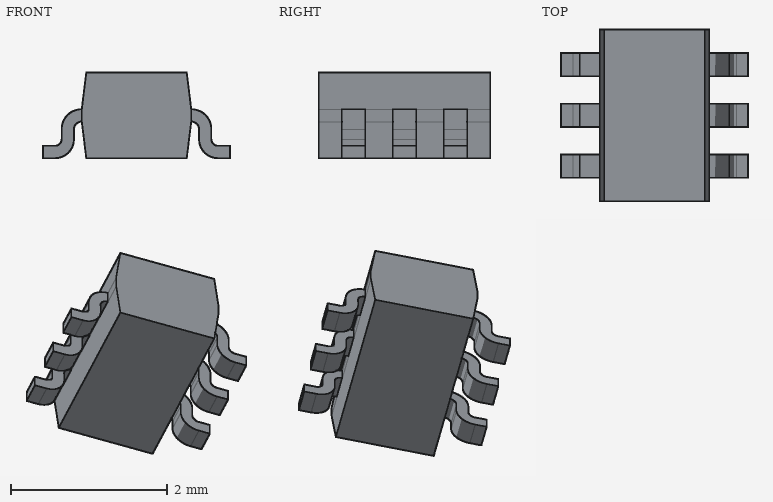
import cadquery as cq


LEAD_SPAN = 2.4
BODY_LENGTH = 2.2
BODY_HEIGHT = 1.1
BODY_WAIST_WIDTH = 1.405
BODY_FACE_WIDTH = 1.29

LEADS_PER_SIDE = 3
LEAD_PITCH = 0.65
LEAD_WIDTH = 0.3
LEAD_THICKNESS = 0.16
FOOT_LENGTH = 0.155
LOWER_BEND_RADIUS = 0.085

WAIST_BOTTOM = (BODY_HEIGHT - LEAD_THICKNESS) / 2
WAIST_TOP = WAIST_BOTTOM + LEAD_THICKNESS
LEAD_REACH = (LEAD_SPAN - BODY_WAIST_WIDTH) / 2
LOWER_BEND_OUTER_RADIUS = LOWER_BEND_RADIUS + LEAD_THICKNESS
UPPER_BEND_OUTER_RADIUS = LEAD_REACH - FOOT_LENGTH - LOWER_BEND_RADIUS
UPPER_BEND_RADIUS = UPPER_BEND_OUTER_RADIUS - LEAD_THICKNESS
RISER_BOTTOM = LOWER_BEND_OUTER_RADIUS
RISER_TOP = WAIST_TOP - UPPER_BEND_OUTER_RADIUS
RISER_LENGTH = RISER_TOP - RISER_BOTTOM


def make_body():
    """Moulded body: drafted sides above and below a vertical waist band."""
    half_waist = BODY_WAIST_WIDTH / 2
    half_face = BODY_FACE_WIDTH / 2
    return (
        cq.Workplane("XZ")
        .moveTo(-half_face, 0)
        .lineTo(half_face, 0)
        .lineTo(half_waist, WAIST_BOTTOM)
        .lineTo(half_waist, WAIST_TOP)
        .lineTo(half_face, BODY_HEIGHT)
        .lineTo(-half_face, BODY_HEIGHT)
        .lineTo(-half_waist, WAIST_TOP)
        .lineTo(-half_waist, WAIST_BOTTOM)
        .close()
        .extrude(BODY_LENGTH / 2, both=True)
    )


def make_left_lead(y):
    """Gull-wing lead on the -X side, centred at y and ending flat on the waist."""
    tip_x = -LEAD_SPAN / 2
    riser_outer_x = tip_x + FOOT_LENGTH + LOWER_BEND_RADIUS
    return (
        cq.Workplane("XZ", origin=(0, y, 0))
        .moveTo(tip_x, 0)
        .line(FOOT_LENGTH, 0)
        .tangentArcPoint((LOWER_BEND_OUTER_RADIUS, LOWER_BEND_OUTER_RADIUS))
        .line(0, RISER_LENGTH)
        .tangentArcPoint((UPPER_BEND_RADIUS, UPPER_BEND_RADIUS))
        .line(0, LEAD_THICKNESS)
        .radiusArc((riser_outer_x, RISER_TOP), -UPPER_BEND_OUTER_RADIUS)
        .line(0, -RISER_LENGTH)
        .tangentArcPoint((-LOWER_BEND_RADIUS, -LOWER_BEND_RADIUS))
        .line(-FOOT_LENGTH, 0)
        .close()
        .extrude(LEAD_WIDTH / 2, both=True)
    )


body = make_body()

leads = []
for index in range(LEADS_PER_SIDE):
    lead_y = (index - (LEADS_PER_SIDE - 1) / 2) * LEAD_PITCH
    left_lead = make_left_lead(lead_y)
    right_lead = left_lead.mirror("YZ")
    leads += [left_lead.val(), right_lead.val()]

result = cq.Compound.makeCompound([body.val(), *leads])